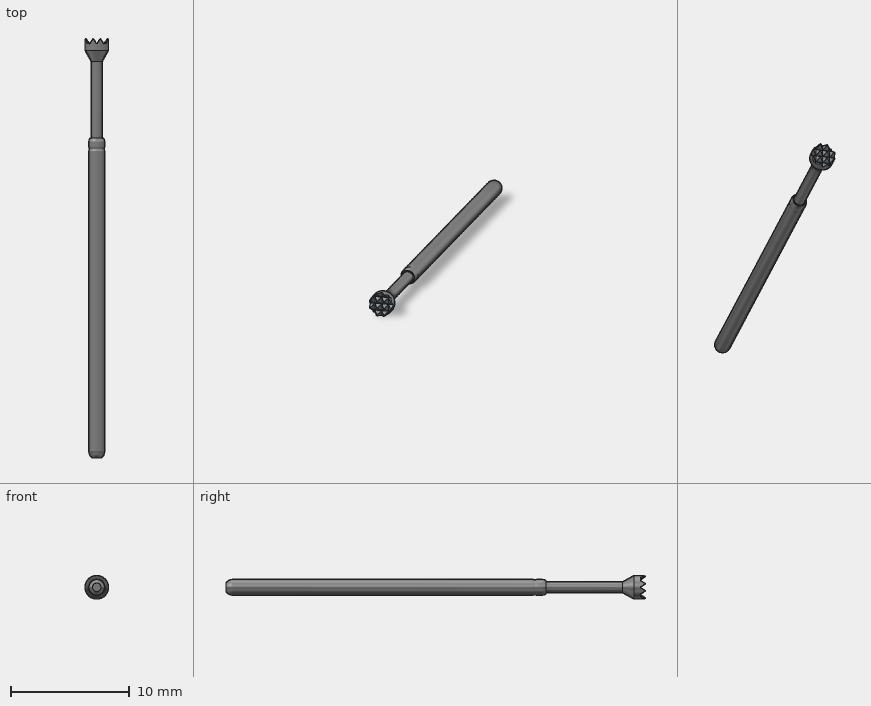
import cadquery as cq
import math

total_length = 35.4

head_radius = 1.0
head_rim_length = 1.0
head_cone_length = 0.95
tooth_pitch = 0.6
tooth_depth = 0.45

stem_radius = 0.475

barrel_radius = 0.68
barrel_mouth_position = 8.4
mouth_length = 0.32
mouth_radius = 0.58
groove_start = 0.77
groove_width = 0.34
groove_depth = 0.03

tail_length = 0.58
tail_flat_radius = 0.36

rim_y = total_length - head_rim_length
cone_end_y = rim_y - head_cone_length
mouth_y = total_length - barrel_mouth_position
mouth_end_y = mouth_y - mouth_length
groove_front_y = mouth_y - groove_start
groove_back_y = groove_front_y - groove_width
groove_floor = (barrel_radius - groove_depth, (groove_front_y + groove_back_y) / 2)


def tangent_arc_middle(side_radius, side_y, end_radius, end_y):
    """Middle point of an arc that leaves a cylinder side tangentially."""
    drop = side_radius - end_radius
    run = end_y - side_y
    arc_radius = (drop**2 + run**2) / (2 * drop)
    half_angle = math.asin(abs(run) / arc_radius) / 2
    middle_radius = side_radius - arc_radius * (1 - math.cos(half_angle))
    middle_y = side_y + math.copysign(arc_radius * math.sin(half_angle), run)
    return (middle_radius, middle_y)


def probe_body():
    """Revolved outline of barrel, stem and solid head."""
    outline = (
        cq.Workplane("XY")
        .moveTo(0, 0)
        .lineTo(tail_flat_radius, 0)
        .threePointArc(
            tangent_arc_middle(barrel_radius, tail_length, tail_flat_radius, 0),
            (barrel_radius, tail_length),
        )
        .lineTo(barrel_radius, groove_back_y)
        .threePointArc(groove_floor, (barrel_radius, groove_front_y))
        .lineTo(barrel_radius, mouth_end_y)
        .threePointArc(
            tangent_arc_middle(barrel_radius, mouth_end_y, mouth_radius, mouth_y),
            (mouth_radius, mouth_y),
        )
        .lineTo(stem_radius, mouth_y)
        .lineTo(stem_radius, cone_end_y)
        .lineTo(head_radius, rim_y)
        .lineTo(head_radius, total_length)
        .lineTo(0, total_length)
        .close()
    )
    return outline.revolve(360, (0, 0, 0), (0, 1, 0))


def tooth_grooves():
    """Parallel V-grooves along Z, set side by side across the head face."""
    half_pitch = tooth_pitch / 2
    side_grooves = math.floor(head_radius / tooth_pitch)
    grooves = cq.Workplane("XY")
    for index in range(-side_grooves, side_grooves + 1):
        center_x = index * tooth_pitch
        groove = (
            cq.Workplane("XY")
            .moveTo(center_x, total_length - tooth_depth)
            .lineTo(center_x + half_pitch, total_length)
            .lineTo(center_x - half_pitch, total_length)
            .close()
            .extrude(2 * head_radius, both=True)
        )
        grooves = grooves.add(groove)
    return grooves.combine()


grooves_along_z = tooth_grooves()
grooves_along_x = grooves_along_z.rotate((0, 0, 0), (0, 1, 0), 90)
result = probe_body().cut(grooves_along_z).cut(grooves_along_x)